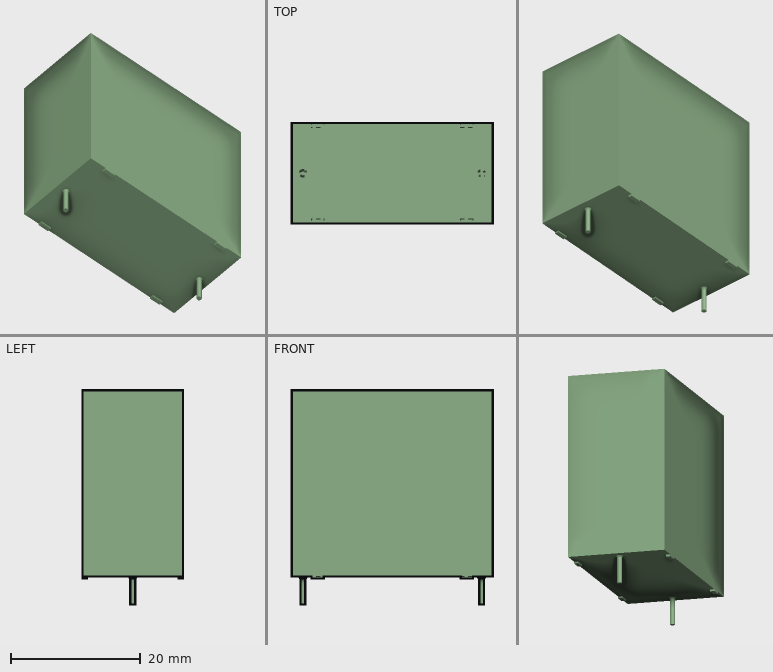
import cadquery as cq

length = 31.0
width = 15.5
total_height = 33.0
pin_below_feet = 4.0
foot_height = 0.3
body_bottom = pin_below_feet + foot_height

foot_length = 1.95
foot_width = 0.7
foot_end_inset = 3.05

pin_diameter = 0.8
pin_pitch = 27.5
collar_diameter = 1.12
collar_height = 0.25


def make_body():
    """Box standing above the pin tips at Z = 0."""
    box = cq.Workplane("XY").box(length, width, total_height - body_bottom, centered=(True, True, False))
    return box.translate((0, 0, body_bottom))


def make_feet():
    """Four thin pads, flush with the long side faces."""
    foot_x = length / 2 - foot_end_inset - foot_length / 2
    foot_y = width / 2 - foot_width / 2
    return (
        cq.Workplane("XY", origin=(0, 0, pin_below_feet))
        .rarray(2 * foot_x, 2 * foot_y, 2, 2)
        .rect(foot_length, foot_width)
        .extrude(foot_height)
    )


def make_pin(x):
    """Pin revolved about its own axis, widening into the collar under the body."""
    pin_radius = pin_diameter / 2
    return (
        cq.Workplane("XZ", origin=(x, 0, 0))
        .lineTo(pin_radius, 0)
        .lineTo(pin_radius, body_bottom - collar_height)
        .lineTo(collar_diameter / 2, body_bottom)
        .lineTo(0, body_bottom)
        .close()
        .revolve(360, (0, 0, 0), (0, 1, 0))
    )


result = make_body().union(make_feet())
for side in (-1, 1):
    result = result.union(make_pin(side * pin_pitch / 2))